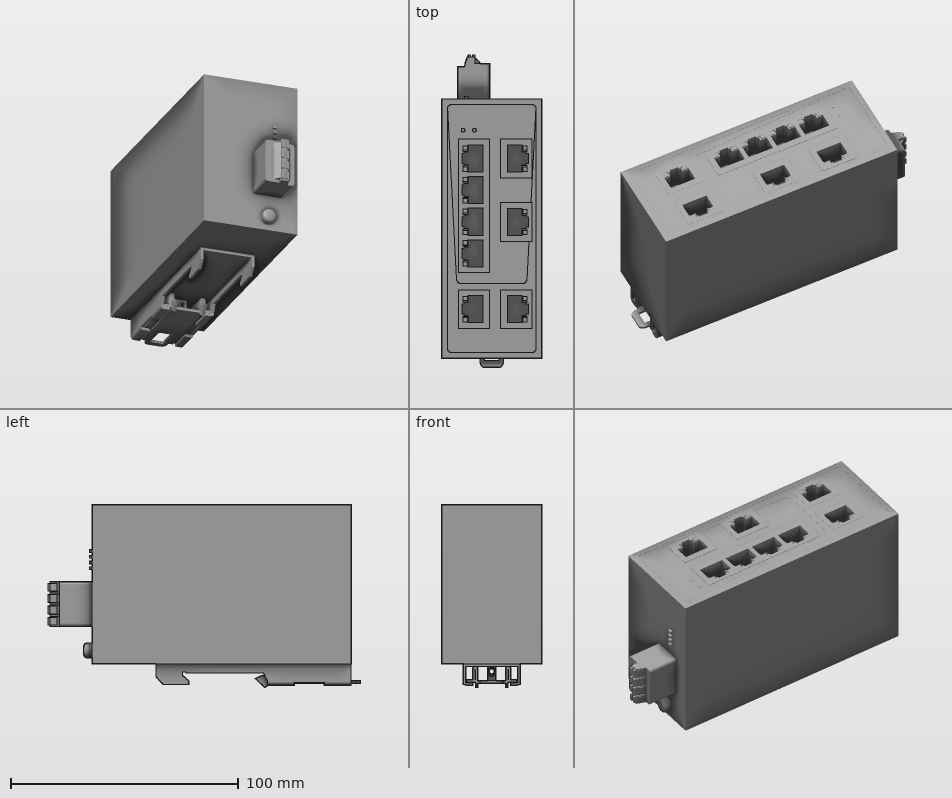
import cadquery as cq


WIDTH = 44.0
LENGTH = 114.0
HEIGHT = 70.0

STEP = 0.1
PANEL_MARGIN = 2.5
PANEL_RADIUS = 1.8
LABEL_FRONT = 32.8
LABEL_FRONT_HALF_WIDTH = 15.4
LABEL_RADIUS = 2.2

EMBED = 1.0

SOCKET_FRAME_WIDTH = 13.8
SOCKET_FRAME_LENGTH = 17.0
SOCKET_PITCH = 13.9
SOCKET_DEPTH = 12.0
SOCKET_MAIN = (6.55, 11.9)
SOCKET_STEP = (1.75, 5.8)
SOCKET_TONGUE = (0.9, 4.3)
SOCKET_LATCH_MARGIN = 1.65
LEFT_COLUMN_X = -7.8
RIGHT_COLUMN_X = 10.8
BACK_SOCKET_Y = 87.8
MIDDLE_SOCKET_Y = 59.9
FRONT_SOCKET_Y = 21.6
GROUP_COUNT = 4
LAMP_POCKET = (2.2, 2.45)
LAMP_SIDE = 1.85
LAMP_POCKET_DEPTH = 0.5
LAMP_TOP_DEPTH = 0.1
LAMP_POCKET_INNER_Y = 3.15

STATUS_LAMP_DIAMETER = 1.6
STATUS_LAMP_Y = 100.25
STATUS_LAMP_XS = (-12.6, -7.6)

PLUG_LEFT = -15.0
PLUG_RIGHT = -0.85
PLUG_BOTTOM = 16.35
PLUG_HEIGHT = 19.75
PLUG_EDGE_RADIUS = 1.4
PLUG_LEFT_REACH = 14.2
PLUG_RIGHT_REACH = 15.5
LEVER_REACH = 18.5
PLUG_REACH = 19.38
LEVER_LEFT = -12.3
LEVER_TOP_LEFT = -10.8
LEVER_RIGHT = -7.3
LEVER_COUNT = 4
LEVER_PITCH = 5.0
LEVER_WIDTH = 3.4
LEVER_CORE_SETBACK = 0.2
LEVER_FOOT = 1.3
LEVER_GAP_WIDTH = 0.9
LEVER_GAP_DEPTH = 0.5
NUB_WIDTH = 1.1
NUB_INSET = 0.4
GUSSET_RIGHT = -4.8
GUSSET_REACH = 18.1

PIN_COUNT = 4
PIN_PITCH = 2.5
PIN_FIRST_Z = 42.05
PIN_X = -11.05
PIN_SIZE = (1.8, 1.15, 1.25)

SCREW_X = -8.0
SCREW_Z = 5.9
SCREW_RADIUS = 3.3
SCREW_SHANK = 2.0
SCREW_REACH = 3.85

SHEET = 1.2
BRACKET_WIDTH = 25.1
BRACKET_LENGTH = 86.0
BRACKET_DEPTH = 9.4
BRACKET_BEND = 1.5
BRACKET_SETBACK = 0.15
LIP_REACH = 4.2
LIP_GAP = (12.0, 25.1)
RAIL_SEAT_Z = -4.1
BRACKET_FRONT_END = 38.7
BRACKET_LIP_END = 36.9
BRACKET_SLOPE_END_Z = -7.6
HOOK_CHAMFER_Y = 82.8
HOOK_CHAMFER_Z = -5.6
HOOK_BOTTOM_Z = -9.1
HOOK_TIP_Y = 71.4
HOOK_TIP_TOP_Z = -7.6
HOOK_THROAT_Z = -5.0
NOTCH_BACK_Y = 74.2
NOTCH_FRONT_Y = 72.8
NOTCH_DEPTH = 0.5

LATCH_LOW_Z = -10.42
FOLD_CENTRE_X = 7.25
FOLD_RADIUS = 1.08
FOLD_SLIT = 0.1
FOLD_SLIT_TOP_Z = -2.4
FLANGE_CLEARANCE = 0.12
FLANGE_END_X = 10.95
LATCH_LENGTH = 36.8
LATCH_PLATE_Z = -7.4
LATCH_HOOK_ROOT_Y = 36.0
LATCH_HOOK_TOP = (39.6, -5.2)
LATCH_HOOK_NOSE = (42.3, -6.4)
LATCH_HOOK_TIP_Y = 38.1
LATCH_HOOK_HEEL = (36.6, -9.4)
TAB_REACH = 4.0
TAB_HALF_WIDTH = 5.2
TAB_FRONT_HALF_WIDTH = 4.2
TAB_CORNER_RADIUS = 1.5
TAB_SLOT_HALF_WIDTH = 3.1
TAB_BAR_BACK = 0.9
TAB_SLOT_END = 10.0

LUG_WIDTH = 3.6
LUG_Y = 30.0
LUG_HOLE_Z = -3.3
LUG_HOLE_DIAMETER = 2.2
LUG_RING_DIAMETER = 3.5
LUG_RING_LENGTH = 0.6
LUG_FOOT_HEIGHT = 2.1


def box(x_range, y_range, z_range):
    """Box between the given limits on each axis."""
    size = [end - start for start, end in (x_range, y_range, z_range)]
    corner = (x_range[0], y_range[0], z_range[0])
    return cq.Workplane("XY").box(*size, centered=False).translate(corner)


def prism_z(points, bottom, top):
    """Outline in X, Y raised from bottom to top."""
    return cq.Workplane("XY").workplane(offset=bottom).polyline(points).close().extrude(top - bottom)


def prism_x(points, left, right):
    """Outline in Y, Z extended from left to right."""
    return cq.Workplane("YZ").workplane(offset=left).polyline(points).close().extrude(right - left)


def both_sides(shape):
    """The shape joined with its mirror image across X = 0."""
    return shape.union(shape.mirror("YZ"))


def make_housing():
    half_panel = WIDTH / 2 - PANEL_MARGIN
    panel_back = LENGTH - PANEL_MARGIN
    panel_z = HEIGHT - STEP
    label_z = panel_z - STEP
    panel = box((-half_panel, half_panel), (PANEL_MARGIN, panel_back), (label_z, HEIGHT))
    panel = panel.edges("|Z").fillet(PANEL_RADIUS)
    label = prism_z(
        [
            (-LABEL_FRONT_HALF_WIDTH, LABEL_FRONT),
            (LABEL_FRONT_HALF_WIDTH, LABEL_FRONT),
            (half_panel, panel_back),
            (-half_panel, panel_back),
        ],
        label_z,
        HEIGHT,
    )
    label = label.edges("|Z and <Y").fillet(LABEL_RADIUS).intersect(panel)
    housing = box((-WIDTH / 2, WIDTH / 2), (0, LENGTH), (0, HEIGHT))
    return housing.cut(panel.translate((0, 0, STEP))).cut(label)


def add_socket_frame(housing, x, y, length):
    half_width = SOCKET_FRAME_WIDTH / 2
    frame = box((x - half_width, x + half_width), (y - length / 2, y + length / 2), (HEIGHT - EMBED, HEIGHT))
    return housing.union(frame)


def cut_socket(housing, x, y, latch_side):
    """Stepped jack opening with two corner lamps; latch_side is -1 or 1 along X."""
    tongue_x = SOCKET_FRAME_WIDTH / 2 - SOCKET_LATCH_MARGIN
    step_x = tongue_x - SOCKET_TONGUE[0]
    main_x = step_x - SOCKET_STEP[0]
    floor = HEIGHT - SOCKET_DEPTH
    lamp_floor = HEIGHT - LAMP_POCKET_DEPTH
    lamp_top = HEIGHT - LAMP_TOP_DEPTH

    def slot(start, end, width):
        return box((start, end), (-width / 2, width / 2), (floor, HEIGHT))

    opening = slot(main_x - SOCKET_MAIN[0], main_x, SOCKET_MAIN[1])
    opening = opening.union(slot(main_x, step_x, SOCKET_STEP[1]))
    opening = opening.union(slot(step_x, tongue_x, SOCKET_TONGUE[1]))
    outer_x = main_x + LAMP_POCKET[0]
    outer_y = LAMP_POCKET_INNER_Y + LAMP_POCKET[1]
    pocket = box((main_x, outer_x), (LAMP_POCKET_INNER_Y, outer_y), (lamp_floor, HEIGHT))
    lamp = box((outer_x - LAMP_SIDE, outer_x), (outer_y - LAMP_SIDE, outer_y), (lamp_floor, lamp_top))
    lamp_well = pocket.cut(lamp)
    opening = opening.union(lamp_well).union(lamp_well.mirror("XZ"))
    if latch_side < 0:
        opening = opening.mirror("YZ")
    return housing.cut(opening.translate((x, y, 0)))


def add_sockets(housing):
    group_length = SOCKET_FRAME_LENGTH + (GROUP_COUNT - 1) * SOCKET_PITCH
    group_y = BACK_SOCKET_Y - (GROUP_COUNT - 1) * SOCKET_PITCH / 2
    housing = add_socket_frame(housing, LEFT_COLUMN_X, group_y, group_length)
    for i in range(GROUP_COUNT):
        housing = cut_socket(housing, LEFT_COLUMN_X, BACK_SOCKET_Y - i * SOCKET_PITCH, -1)
    single_sockets = [
        (LEFT_COLUMN_X, FRONT_SOCKET_Y, -1),
        (RIGHT_COLUMN_X, FRONT_SOCKET_Y, 1),
        (RIGHT_COLUMN_X, MIDDLE_SOCKET_Y, 1),
        (RIGHT_COLUMN_X, BACK_SOCKET_Y, 1),
    ]
    for x, y, latch_side in single_sockets:
        housing = add_socket_frame(housing, x, y, SOCKET_FRAME_LENGTH)
        housing = cut_socket(housing, x, y, latch_side)
    return housing


def make_status_lamps():
    lamps = cq.Workplane("XY").workplane(offset=HEIGHT - EMBED)
    lamps = lamps.pushPoints([(x, STATUS_LAMP_Y) for x in STATUS_LAMP_XS])
    return lamps.circle(STATUS_LAMP_DIAMETER / 2).extrude(EMBED)


def make_plug():
    top = PLUG_BOTTOM + PLUG_HEIGHT
    left_back = LENGTH + PLUG_LEFT_REACH
    right_back = LENGTH + PLUG_RIGHT_REACH
    lever_back = LENGTH + LEVER_REACH
    split_x = (LEVER_LEFT + LEVER_RIGHT) / 2

    plug = box((PLUG_LEFT, PLUG_RIGHT), (LENGTH, right_back), (PLUG_BOTTOM, top))
    plug = plug.edges("|Y").fillet(PLUG_EDGE_RADIUS)
    plug = plug.cut(box((PLUG_LEFT, split_x), (left_back, right_back), (PLUG_BOTTOM, top)))

    core = prism_z(
        [
            (LEVER_LEFT + LEVER_CORE_SETBACK, left_back),
            (LEVER_RIGHT, left_back),
            (LEVER_RIGHT, lever_back),
            (LEVER_TOP_LEFT + LEVER_CORE_SETBACK, lever_back),
        ],
        PLUG_BOTTOM,
        top,
    )
    gusset = prism_z(
        [
            (LEVER_RIGHT, right_back),
            (GUSSET_RIGHT, right_back),
            (LEVER_RIGHT, LENGTH + GUSSET_REACH),
        ],
        PLUG_BOTTOM + PLUG_EDGE_RADIUS,
        top - PLUG_EDGE_RADIUS,
    )
    plug = plug.union(core).union(gusset)

    middle_z = PLUG_BOTTOM + PLUG_HEIGHT / 2
    for i in range(LEVER_COUNT):
        lever_z = middle_z + (i - (LEVER_COUNT - 1) / 2) * LEVER_PITCH
        plug = plug.union(make_lever(lever_z, left_back, lever_back))
    for i in range(LEVER_COUNT - 1):
        gap_z = middle_z + (i + 1 - LEVER_COUNT / 2) * LEVER_PITCH
        plug = plug.cut(make_lever_gap(gap_z, left_back, lever_back))
    return plug


def make_lever_gap(middle_z, front, back):
    """Groove along the sloping face between two neighbouring levers."""
    return prism_z(
        [
            (LEVER_LEFT, front),
            (LEVER_LEFT + LEVER_CORE_SETBACK + LEVER_GAP_DEPTH, front),
            (LEVER_TOP_LEFT + LEVER_CORE_SETBACK + LEVER_GAP_DEPTH, back),
            (LEVER_LEFT, back),
        ],
        middle_z - LEVER_GAP_WIDTH / 2,
        middle_z + LEVER_GAP_WIDTH / 2,
    )


def make_lever(middle_z, front, back):
    """Sloping release lever with two nubs along its back end."""
    z_range = (middle_z - LEVER_WIDTH / 2, middle_z + LEVER_WIDTH / 2)
    lever = prism_z(
        [(LEVER_LEFT, front), (LEVER_RIGHT, front), (LEVER_RIGHT, back), (LEVER_TOP_LEFT, back)],
        *z_range,
    )
    lever = lever.cut(box((LEVER_LEFT, LEVER_RIGHT), (front, front + LEVER_FOOT), z_range))
    for nub_left in (LEVER_TOP_LEFT + NUB_INSET, LEVER_RIGHT - NUB_WIDTH):
        nub = box((nub_left, nub_left + NUB_WIDTH), (back, LENGTH + PLUG_REACH), z_range)
        lever = lever.union(nub)
    return lever


def make_pins():
    width, reach, height = PIN_SIZE
    pins = cq.Workplane("XY")
    for i in range(PIN_COUNT):
        pin_z = PIN_FIRST_Z + i * PIN_PITCH
        pin = box(
            (PIN_X - width / 2, PIN_X + width / 2),
            (LENGTH, LENGTH + reach),
            (pin_z - height / 2, pin_z + height / 2),
        )
        pins = pins.add(pin)
    return pins.combine()


def make_screw():
    """Domed screw head: half profile turned about the screw axis."""
    profile = (
        cq.Workplane("XY")
        .lineTo(SCREW_RADIUS, 0)
        .lineTo(SCREW_RADIUS, SCREW_SHANK)
        .spline([(0, SCREW_REACH)], tangents=[(0, 1), (-1, 0)], includeCurrent=True)
        .close()
    )
    return profile.revolve(360, (0, 0, 0), (0, 1, 0)).translate((SCREW_X, LENGTH, SCREW_Z))


def make_bracket():
    half = BRACKET_WIDTH / 2
    inner = half - SHEET
    lip_end = half - LIP_REACH
    bracket = box((-half, half), (0, BRACKET_FRONT_END), (-BRACKET_DEPTH, 0))
    bracket = bracket.edges("|Y and <Z").fillet(BRACKET_BEND)
    bracket = bracket.union(box((-half, half), (BRACKET_FRONT_END, BRACKET_LENGTH), (-BRACKET_DEPTH, 0)))
    y_range = (0, BRACKET_LENGTH)
    bracket = bracket.cut(box((-inner, inner), y_range, (SHEET - BRACKET_DEPTH, -SHEET)))
    bracket = bracket.cut(box((-lip_end, lip_end), y_range, (-BRACKET_DEPTH, SHEET - BRACKET_DEPTH)))
    bracket = bracket.cut(box((-half, half), LIP_GAP, (-BRACKET_DEPTH, SHEET - BRACKET_DEPTH)))
    bracket = bracket.cut(box((-inner, inner), (BRACKET_FRONT_END, BRACKET_LENGTH), (-BRACKET_DEPTH, -SHEET)))

    notch_top = RAIL_SEAT_Z + NOTCH_DEPTH
    side = prism_x(
        [
            (BRACKET_SETBACK, 0),
            (BRACKET_LENGTH, 0),
            (BRACKET_LENGTH, HOOK_CHAMFER_Z),
            (HOOK_CHAMFER_Y, HOOK_BOTTOM_Z),
            (HOOK_TIP_Y, HOOK_BOTTOM_Z),
            (HOOK_TIP_Y, HOOK_TIP_TOP_Z),
            (NOTCH_BACK_Y, HOOK_THROAT_Z),
            (NOTCH_BACK_Y, notch_top),
            (NOTCH_FRONT_Y, notch_top),
            (NOTCH_FRONT_Y, RAIL_SEAT_Z),
            (BRACKET_FRONT_END, RAIL_SEAT_Z),
            (BRACKET_LIP_END, BRACKET_SLOPE_END_Z),
            (BRACKET_LIP_END, -BRACKET_DEPTH),
            (BRACKET_SETBACK, -BRACKET_DEPTH),
        ],
        -half,
        half,
    )
    return bracket.intersect(side)


def make_latch():
    """Folded sheet latch: flanges on the bracket lips, hairpin legs, centre plate and pull tab."""
    flange_bottom = SHEET - BRACKET_DEPTH + FLANGE_CLEARANCE
    plate_bottom = LATCH_PLATE_Z - SHEET
    leg_inner = FOLD_CENTRE_X - SHEET
    leg_outer = FOLD_CENTRE_X + SHEET
    y_range = (BRACKET_SETBACK, LATCH_LENGTH)

    legs = box((leg_inner, leg_outer), y_range, (plate_bottom, -SHEET))
    legs = legs.edges("|Y and >Z").fillet(FOLD_RADIUS)
    legs = legs.cut(box((FOLD_CENTRE_X, leg_outer), y_range, (plate_bottom, flange_bottom)))
    flange = box((FOLD_CENTRE_X, FLANGE_END_X), y_range, (flange_bottom, flange_bottom + SHEET))
    hook = prism_x(
        [
            (LATCH_HOOK_ROOT_Y, LATCH_HOOK_TOP[1]),
            LATCH_HOOK_TOP,
            LATCH_HOOK_NOSE,
            (LATCH_HOOK_TIP_Y, LATCH_LOW_Z),
            LATCH_HOOK_HEEL,
            (LATCH_HOOK_ROOT_Y, plate_bottom),
        ],
        leg_inner,
        FOLD_CENTRE_X,
    )
    slit = box(
        (FOLD_CENTRE_X - FOLD_SLIT / 2, FOLD_CENTRE_X + FOLD_SLIT / 2),
        y_range,
        (flange_bottom + SHEET, FOLD_SLIT_TOP_Z),
    )
    legs = legs.cut(slit)
    sides = both_sides(legs.union(flange).union(hook))

    plate = box((-leg_inner, leg_inner), y_range, (plate_bottom, LATCH_PLATE_Z))
    tab = prism_z(
        [
            (-TAB_HALF_WIDTH, BRACKET_SETBACK),
            (-TAB_HALF_WIDTH, -TAB_REACH / 2),
            (-TAB_FRONT_HALF_WIDTH, -TAB_REACH),
            (TAB_FRONT_HALF_WIDTH, -TAB_REACH),
            (TAB_HALF_WIDTH, -TAB_REACH / 2),
            (TAB_HALF_WIDTH, BRACKET_SETBACK),
        ],
        plate_bottom,
        LATCH_PLATE_Z,
    )
    tab = tab.edges("|Z and <Y").fillet(TAB_CORNER_RADIUS)
    slot = box(
        (-TAB_SLOT_HALF_WIDTH, TAB_SLOT_HALF_WIDTH),
        (-TAB_BAR_BACK, TAB_SLOT_END),
        (plate_bottom, LATCH_PLATE_Z),
    )
    return sides.union(plate).union(tab).cut(slot)


def make_spring_lug():
    half = LUG_WIDTH / 2
    lug = box((-half, half), (LUG_Y, LUG_Y + SHEET), (LATCH_PLATE_Z, 0))
    foot = box(
        (-half, half),
        (LUG_Y - LUG_RING_LENGTH, LUG_Y),
        (LATCH_PLATE_Z, LATCH_PLATE_Z + LUG_FOOT_HEIGHT),
    )
    plane = cq.Workplane("XZ", origin=(0, LUG_Y, LUG_HOLE_Z))
    ring = plane.circle(LUG_RING_DIAMETER / 2).extrude(LUG_RING_LENGTH)
    hole = plane.circle(LUG_HOLE_DIAMETER / 2).extrude(2 * SHEET, both=True)
    return lug.union(foot).union(ring).cut(hole)


result = add_sockets(make_housing())
for piece in (
    make_status_lamps(),
    make_plug(),
    make_pins(),
    make_screw(),
    make_bracket(),
    make_latch(),
    make_spring_lug(),
):
    result = result.union(piece)